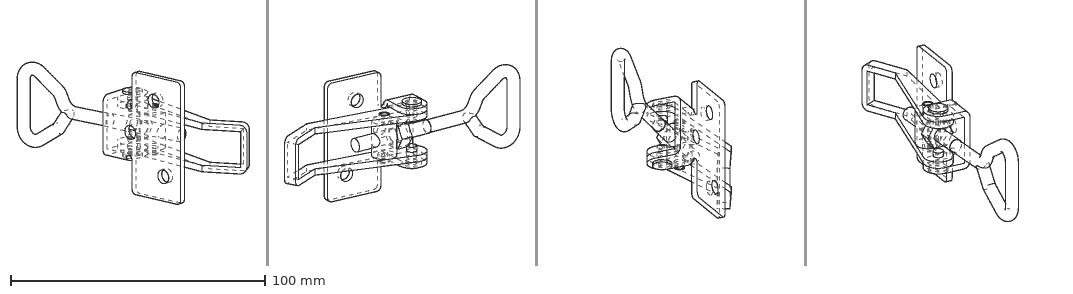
import cadquery as cq
import math


SHEET = 2.5
BEND_OUTER = 3.0
BEND_INNER = BEND_OUTER - SHEET

PLATE_LEFT = 9.0
PLATE_WIDTH = 25.0
PLATE_HEIGHT = 50.0
PLATE_CORNER = 2.0
EAR_RADIUS = 6.0
PIVOT_Y = 11.0
EARS_WIDTH = 25.0
HOLE_DIAMETER = 5.5
SCREW_HOLE_SPACING_Z = 30.0
UPPER_HOLE = (20.0, SCREW_HOLE_SPACING_Z / 2)
LOWER_HOLE = (25.0, -SCREW_HOLE_SPACING_Z / 2)
ACCESS_HOLE = (8.0, 0)
RELIEF_RADIUS = (PLATE_LEFT - EAR_RADIUS) / 2
RELIEF_CENTER_X = (PLATE_LEFT + EAR_RADIUS) / 2
RELIEF_CENTER_Z = EARS_WIDTH / 2 - BEND_OUTER + RELIEF_RADIUS

LEVER_WIDTH = EARS_WIDTH - 2 * SHEET
ARM_THICKNESS = 2.7
LEVER_TIP_X = 59.3
LEVER_ELBOW = (43.4, 1.8)
HANDLE_ANGLE = 28
HANDLE_DEPTH = 5.0
INNER_ELBOW_SHIFT = 2.3

RIVET_HEAD_RADIUS = 3.9
RIVET_HEAD_HEIGHT = 1.0
RIVET_SHANK_RADIUS = 2.0
RIVET_INNER_Z = 5.2

BARREL_X = 11.9
BARREL_Y = 9.3
BARREL_RADIUS = 5.0
TRUNNION_RADIUS = 2.0
TRUNNION_CHAMFER = 0.5

BOLT_TILT = 3.5
WIRE_DIAMETER = 5.2
THREAD_DIAMETER = 5.5
THREAD_START = -21.0
THREAD_END = 14.2
LOOP_LEFT = -63.3
LOOP_BEND = 5.0
LOOP_HALF_HEIGHT = 14.7
LOOP_SLOPE = 34
NECK_SLOPE_UPPER = 65
NECK_SLOPE_LOWER = 56
UPPER_KNEE_X = -45.6
LOWER_KNEE_X = -46.2
KNEE_BEND = 4.5
NECK_BEND = 6.3

NUT_SIDES = 6
NUT_FLATS = 10.0
NUT_END = -4.5
NUT_THICKNESS = 5.0


def z_cylinder(x, y, radius, z_from, z_to):
    """Cylinder parallel to Z between two heights."""
    return cq.Workplane("XY", origin=(x, y, z_from)).circle(radius).extrude(z_to - z_from)


def on_bolt_axis(shape):
    """Move a shape built along X onto the tilted bolt axis through the barrel."""
    return shape.rotate((0, 0, 0), (0, 0, 1), BOLT_TILT).translate((BARREL_X, BARREL_Y, 0))


def make_bracket():
    channel = (
        cq.Workplane("XY")
        .box(2 * EAR_RADIUS, PIVOT_Y + EAR_RADIUS, EARS_WIDTH, centered=(True, False, True))
        .edges("|X and <Y").fillet(BEND_OUTER)
    )
    channel_gap = (
        cq.Workplane("XY", origin=(0, SHEET, 0))
        .box(2 * EAR_RADIUS, PIVOT_Y + EAR_RADIUS, LEVER_WIDTH, centered=(True, False, True))
        .edges("|X and <Y").fillet(BEND_INNER)
    )
    ear_outline = (
        cq.Workplane("XY", origin=(0, 0, -EARS_WIDTH / 2))
        .moveTo(-EAR_RADIUS, 0)
        .lineTo(-EAR_RADIUS, PIVOT_Y)
        .threePointArc((0, PIVOT_Y + EAR_RADIUS), (EAR_RADIUS, PIVOT_Y))
        .lineTo(EAR_RADIUS, 0)
        .close()
        .extrude(EARS_WIDTH)
    )
    channel = channel.cut(channel_gap).intersect(ear_outline)

    plate = (
        cq.Workplane("XY", origin=(PLATE_LEFT, 0, 0))
        .box(PLATE_WIDTH, SHEET, PLATE_HEIGHT, centered=(False, False, True))
        .edges("|Y").fillet(PLATE_CORNER)
    )
    web = (
        cq.Workplane("XY", origin=(EAR_RADIUS, 0, 0))
        .box(PLATE_LEFT - EAR_RADIUS, SHEET, 2 * RELIEF_CENTER_Z, centered=(False, False, True))
    )
    notches = (
        cq.Workplane("XZ")
        .pushPoints([(RELIEF_CENTER_X, side * RELIEF_CENTER_Z) for side in (-1, 1)])
        .circle(RELIEF_RADIUS)
        .extrude(-SHEET)
    )
    bracket = channel.union(plate).union(web.cut(notches))

    holes = (
        cq.Workplane("XZ")
        .pushPoints([UPPER_HOLE, LOWER_HOLE, ACCESS_HOLE])
        .circle(HOLE_DIAMETER / 2)
        .extrude(-SHEET)
    )
    return bracket.cut(holes)


def tangent_point(x, y, side):
    """Point where a line from (x, y) touches the round end of the lever (side +1 above, -1 below)."""
    toward = math.atan2(y - PIVOT_Y, x)
    angle = toward + side * math.acos(EAR_RADIUS / math.hypot(x, y - PIVOT_Y))
    return (EAR_RADIUS * math.cos(angle), PIVOT_Y + EAR_RADIUS * math.sin(angle))


def make_lever():
    along = (math.cos(math.radians(HANDLE_ANGLE)), math.sin(math.radians(HANDLE_ANGLE)))
    across = (-along[1], along[0])
    handle_length = (LEVER_TIP_X - LEVER_ELBOW[0]) / along[0]

    def handle_point(distance, height):
        return tuple(LEVER_ELBOW[i] + distance * along[i] + height * across[i] for i in range(2))

    inner_elbow = handle_point(INNER_ELBOW_SHIFT, HANDLE_DEPTH)
    lever = (
        cq.Workplane("XY", origin=(0, 0, -LEVER_WIDTH / 2))
        .moveTo(*tangent_point(*inner_elbow, 1))
        .threePointArc((-EAR_RADIUS, PIVOT_Y), tangent_point(*LEVER_ELBOW, -1))
        .lineTo(*LEVER_ELBOW)
        .lineTo(*handle_point(handle_length, 0))
        .lineTo(*handle_point(handle_length, HANDLE_DEPTH))
        .lineTo(*inner_elbow)
        .close()
        .extrude(LEVER_WIDTH)
    )

    across_handle = cq.selectors.ParallelDirSelector(cq.Vector(*across, 0))
    lever = lever.edges(across_handle).edges(">X").fillet(BEND_OUTER)

    crossbar_face = cq.Plane(
        origin=(*handle_point(handle_length - SHEET, 0), 0), xDir=(*across, 0), normal=(*along, 0)
    )
    opening_size = 2 * LEVER_TIP_X
    opening = (
        cq.Workplane(crossbar_face)
        .rect(opening_size, LEVER_WIDTH - 2 * ARM_THICKNESS)
        .extrude(-opening_size)
    )

    trunnion_holes = z_cylinder(BARREL_X, BARREL_Y, TRUNNION_RADIUS, -LEVER_WIDTH / 2, LEVER_WIDTH / 2)
    return lever.cut(opening).cut(trunnion_holes)


def make_rivet(side):
    ear_face = side * EARS_WIDTH / 2
    head = z_cylinder(0, PIVOT_Y, RIVET_HEAD_RADIUS, ear_face, ear_face + side * RIVET_HEAD_HEIGHT)
    shank = z_cylinder(0, PIVOT_Y, RIVET_SHANK_RADIUS, side * RIVET_INNER_Z, ear_face)
    return head.union(shank)


def make_barrel():
    body_half = LEVER_WIDTH / 2 - ARM_THICKNESS
    body = z_cylinder(BARREL_X, BARREL_Y, BARREL_RADIUS, -body_half, body_half)
    trunnions = (
        z_cylinder(BARREL_X, BARREL_Y, TRUNNION_RADIUS, -LEVER_WIDTH / 2, LEVER_WIDTH / 2)
        .faces("|Z").edges().chamfer(TRUNNION_CHAMFER)
    )
    return body.union(trunnions)


def bent_wire(points, bends):
    """Round wire through points, with a bend radius at each inner point (0 for a mitred corner)."""
    vectors = [cq.Vector(*p) for p in points]
    path = cq.Workplane("XZ").moveTo(*points[0])
    for before, corner, after, radius in zip(vectors, vectors[1:], vectors[2:], bends):
        to_before = (before - corner).normalized()
        to_after = (after - corner).normalized()
        if radius == 0:
            path = path.lineTo(corner.x, corner.y)
            continue
        half_angle = to_before.getAngle(to_after) / 2
        start = corner + to_before * (radius / math.tan(half_angle))
        end = corner + to_after * (radius / math.tan(half_angle))
        depth = radius / math.sin(half_angle) - radius
        middle = corner + (to_before + to_after).normalized() * depth
        path = path.lineTo(start.x, start.y).threePointArc((middle.x, middle.y), (end.x, end.y))
    path = path.lineTo(*points[-1])
    first = vectors[1] - vectors[0]
    start_plane = cq.Plane(
        origin=(points[0][0], 0, points[0][1]), xDir=(0, 1, 0), normal=(first.x, 0, first.y)
    )
    return cq.Workplane(start_plane).circle(WIRE_DIAMETER / 2).sweep(path, transition="right")


def make_pull_bolt():
    slope = math.tan(math.radians(LOOP_SLOPE))
    apex_z = LOOP_HALF_HEIGHT - LOOP_BEND + LOOP_BEND * (1 / math.cos(math.radians(LOOP_SLOPE)) + slope)

    def slanted_z(x):
        return apex_z - (x - LOOP_LEFT) * slope

    upper_knee = (UPPER_KNEE_X, slanted_z(UPPER_KNEE_X))
    neck = (UPPER_KNEE_X + upper_knee[1] / math.tan(math.radians(NECK_SLOPE_UPPER)), 0)
    upper = bent_wire(
        [(LOOP_LEFT, 0), (LOOP_LEFT, apex_z), upper_knee, neck, (THREAD_START, 0)],
        [LOOP_BEND, KNEE_BEND, NECK_BEND],
    )
    lower_knee = (LOWER_KNEE_X, -slanted_z(LOWER_KNEE_X))
    lower_end = (LOWER_KNEE_X - lower_knee[1] / math.tan(math.radians(NECK_SLOPE_LOWER)), 0)
    lower = bent_wire(
        [(LOOP_LEFT, 0), (LOOP_LEFT, -apex_z), lower_knee, lower_end],
        [LOOP_BEND, 0],
    )
    thread = (
        cq.Workplane("YZ", origin=(THREAD_START, 0, 0))
        .circle(THREAD_DIAMETER / 2)
        .extrude(THREAD_END - THREAD_START)
    )
    return on_bolt_axis(upper.union(lower).union(thread))


def make_nut():
    corner_distance = NUT_FLATS / math.cos(math.pi / NUT_SIDES)
    nut = (
        cq.Workplane("YZ", origin=(NUT_END - NUT_THICKNESS, 0, 0))
        .polygon(NUT_SIDES, corner_distance)
        .circle(THREAD_DIAMETER / 2)
        .extrude(NUT_THICKNESS)
    )
    return on_bolt_axis(nut)


rivets = [make_rivet(side) for side in (-1, 1)]
pull_bolt = make_pull_bolt()
nut = make_nut()
barrel = make_barrel().cut(pull_bolt).cut(nut)
bracket = make_bracket()
lever = make_lever()
for rivet in rivets:
    bracket = bracket.cut(rivet)
    lever = lever.cut(rivet)

result = cq.Compound.makeCompound(
    [bracket.val(), lever.val(), pull_bolt.val(), nut.val(), barrel.val(), *[r.val() for r in rivets]]
)